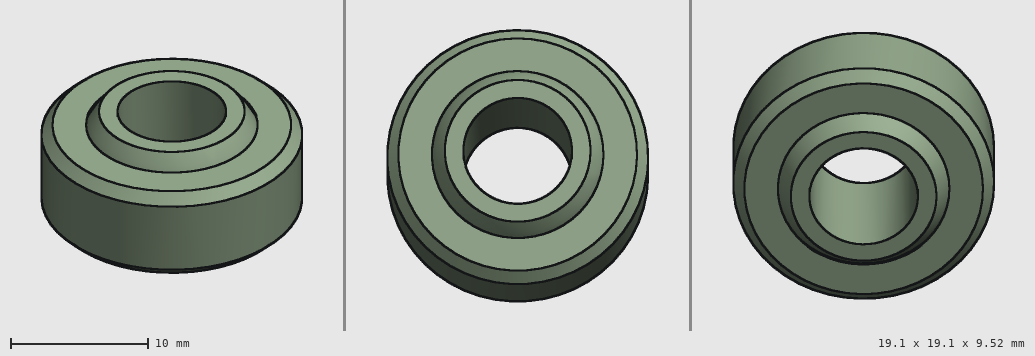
import cadquery as cq

outer_diameter = 19.05
ring_height = 7.16
ring_chamfer = 0.82

ball_height = 9.52
ball_face_diameter = 10.63
bore_diameter = 7.92

ring_opening_diameter = 12.52

ball_radius = ((ball_face_diameter / 2) ** 2 + (ball_height / 2) ** 2) ** 0.5

seat_radius = ((ring_opening_diameter / 2) ** 2 + (ring_height / 2) ** 2) ** 0.5


def centred_cylinder(diameter, height):
    """Cylinder along Z, centred on the origin."""
    return cq.Workplane("XY").circle(diameter / 2).extrude(height).translate((0, 0, -height / 2))


def make_inner_ball():
    """Sphere cut flat at both ends, with a through bore."""
    flattened = cq.Workplane("XY").sphere(ball_radius).intersect(
        centred_cylinder(outer_diameter, ball_height)
    )
    return flattened.cut(centred_cylinder(bore_diameter, ball_height))


def make_outer_ring():
    """Chamfered ring with a spherical seat around the ball."""
    blank = centred_cylinder(outer_diameter, ring_height)
    blank = blank.faces("|Z").edges().chamfer(ring_chamfer)
    return blank.cut(cq.Workplane("XY").sphere(seat_radius))


inner_ball = make_inner_ball()
outer_ring = make_outer_ring()

result = cq.Compound.makeCompound([inner_ball.solids().val(), outer_ring.solids().val()])